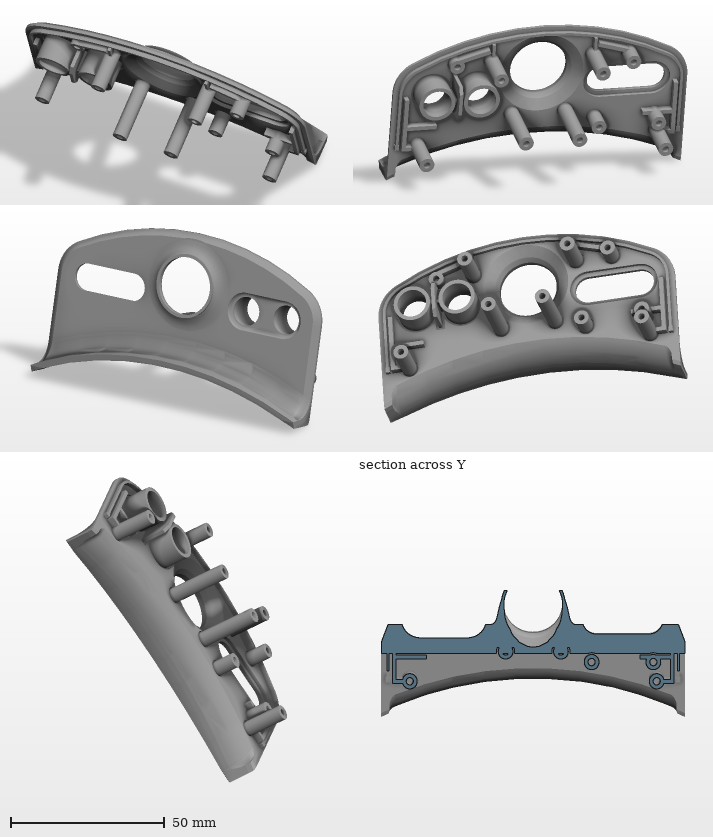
import cadquery as cq
import math

LEAN = 15.0
TIP_UP_ANGLE = 90 + LEAN

WIDTH = 98.9
HALF_WIDTH = WIDTH / 2
TOP_Y = 56.8
TOP_RADIUS = 91.0
CORNER_RADIUS = 11.9

BACK_Z = 9.9
PANEL_THICKNESS = 2.5
FRONT_Z = BACK_Z - PANEL_THICKNESS
EDGE_CHAMFER_WIDTH = 2.2
EDGE_CHAMFER_DEPTH = 1.5
BEVEL_FADE_END = (4.5, 1.8)
BEVEL_FADE_MID = (6.3, 6.6)
BEVEL_FADE_START = (11.4, FRONT_Z + EDGE_CHAMFER_DEPTH)

ARCH_CENTER_Y = -97.9
ARCH_RADIUS = 113.6
LEDGE_DRAFT = 5.0
LEDGE_FILLET = 6.1
LEDGE_THICKNESS = 2.2
UNDERSIDE_RADIUS = 9.9
UNDERSIDE_END_Z = BACK_Z + 1.0
HOLLOW_BACK_Z = BACK_Z + 9.9
LEDGE_FAR_Z = -9.9
SIDE_WALL = 2.6
HOLLOW_CORNER_RADIUS = 2.5

LEDGE_END_CORNER = (0.0, 4.3)
LEDGE_END_UNDERCUT = (-1.4, -1.2)
TRIM_SIZE = 69.2

RIM_PICK_Y = 29.7
PICK_MARGIN = 0.1

FOOT_REAR = (111.1, LEDGE_FAR_Z)
FOOT_FRONT = (111.7, 7.5)
FOOT_BEVEL = (112.0, 9.4)
FOOT_BACK_RADIUS = 113.3

RIDGE_INSET = 1.8
RIDGE_WIDTH = 0.9
RIDGE_HEIGHT = 1.5
RIDGE_END_Y = 14.7
RIDGE_PAD_WIDTH = 1.4
RIDGE_PAD_LENGTH = 1.8
RIDGE_X = HALF_WIDTH - RIDGE_INSET - RIDGE_WIDTH / 2

EYE_Y = 39.6
EYE_RADIUS = 9.5
EYE_LIP_RADIUS = 10.5
EYE_FRONT_Z = 4.5
EYE_FLARE_RADIUS = 15.4
EYE_LIP_HEIGHT = 0.8
EYE_FLARE_MID = (12.3, 6.7)
EYE_STEP_RADIUS = 10.7
EYE_STEP_Z = 7.8
EYE_SEAT_Z = 6.3
EYE_DISH_RADIUS = 14.1

SIDE_FEATURE_X = 29.1
SIDE_FEATURE_Y = 35.0
TUBE_SPACING = 14.9
TUBE_OUTER_RADIUS = 6.0
TUBE_INNER_RADIUS = 4.7
TUBE_END_Z = 18.0
TUBE_RECESS_RADIUS = 6.2
TUBE_RECESS_DEPTH = 1.5
TUBE_RECESS_FILLET = 1.4
SLOT_CENTERS = 17.1
SLOT_RADIUS = 4.5
SLOT_RECESS_RADIUS = 6.0
SLOT_RECESS_DEPTH = 1.2

FIN_THICKNESS = 1.2
FIN_LENGTH = 12.3
FIN_END_Z = 19.6
FIN_CHAMFER_LENGTH = 2.4
FIN_CHAMFER_HEIGHT = 1.6
WEB_WIDTH = 1.0
WEB_END_Z = 16.8

POST_RADIUS = 2.5
POST_BORE_RADIUS = 1.1
TALL_Z = 30.0
MEDIUM_Z = 23.5
SHORT_Z = 16.9
RIB_TOP_Z = 12.5
UPPER_POST = (17.1, 45.5)
LOWER_POST = (40.1, 15.5)
POSTS = [
    (-UPPER_POST[0], UPPER_POST[1], MEDIUM_Z),
    (UPPER_POST[0], UPPER_POST[1], MEDIUM_Z),
    (-9.0, 24.9, TALL_Z),
    (9.0, 24.9, TALL_Z),
    (-LOWER_POST[0], LOWER_POST[1], MEDIUM_Z),
    (LOWER_POST[0], LOWER_POST[1], MEDIUM_Z),
    (19.0, 21.6, SHORT_Z),
    (39.1, 21.6, SHORT_Z),
    (SIDE_FEATURE_X, 45.2, SHORT_Z),
    (-SIDE_FEATURE_X, 45.2, RIB_TOP_Z),
]

GROOVE_DEPTH = 0.5
POST_GROOVE = 0.4
TUBE_GROOVE = 0.8
FIN_GROOVE = 0.9
GROOVE_Z = BACK_Z - GROOVE_DEPTH

RIB_WIDTH = 1.4
SIDE_RIB_X = 45.2
SIDE_RIB_TOP_Y = 33.9
CROSS_RIB_Y = 23.1
CROSS_RIB_INNER_X = 34.6
UPPER_RIB_INNER = (18.2, 50.0)
UPPER_RIB_OUTER_Y = 46.8
SPUR_WIDTH = 1.0


def outline(inset, bottom_y):
    """Closed panel outline, moved inward by inset at the sides, corners and top."""
    half = HALF_WIDTH - inset
    top = TOP_Y - inset
    radius = TOP_RADIUS - inset
    corner = CORNER_RADIUS - inset
    center_y = top - radius
    corner_x = half - corner
    corner_y = center_y + math.sqrt((radius - corner) ** 2 - corner_x ** 2)
    join = math.atan2(corner_y - center_y, corner_x)
    join_x = radius * math.cos(join)
    join_y = center_y + radius * math.sin(join)
    mid_x = corner_x + corner * math.cos(join / 2)
    mid_y = corner_y + corner * math.sin(join / 2)
    return (
        cq.Workplane("XY")
        .moveTo(half, bottom_y)
        .lineTo(half, corner_y)
        .threePointArc((mid_x, mid_y), (join_x, join_y))
        .threePointArc((0, top), (-join_x, join_y))
        .threePointArc((-mid_x, mid_y), (-half, corner_y))
        .lineTo(-half, bottom_y)
        .close()
    )


def revolve_about(profile, center_y):
    """Revolve a (radius, z) profile about an axis along Z at X = 0 and the given Y."""
    solid = profile.revolve(360, (0, 0, 0), (0, 1, 0))
    return solid.rotate((0, 0, 0), (1, 0, 0), 90).translate((0, center_y, 0))


def ledge_curve(start, radius, fillet, face_z):
    """From start to the conical ledge, along it, and around its fillet onto the face at face_z."""
    draft = math.radians(LEDGE_DRAFT)
    center_z = face_z - fillet
    center_r = radius + center_z * math.tan(draft) + fillet / math.cos(draft)
    middle = math.radians((90 + LEDGE_DRAFT) / 2)

    def on_fillet(angle):
        return (center_r - fillet * math.cos(angle), center_z + fillet * math.sin(angle))

    return (
        cq.Workplane("XY")
        .moveTo(*start)
        .lineTo(radius + LEDGE_FAR_Z * math.tan(draft), LEDGE_FAR_Z)
        .lineTo(*on_fillet(draft))
        .threePointArc(on_fillet(middle), (center_r, face_z))
    )


def rear_trim():
    """Full-width slab in front of the rear cut of the ledge."""
    profile = (
        cq.Workplane("YZ")
        .polyline(
            [
                LEDGE_END_CORNER,
                LEDGE_END_UNDERCUT,
                (-TRIM_SIZE, LEDGE_END_UNDERCUT[1]),
                (-TRIM_SIZE, TRIM_SIZE),
                (0, TRIM_SIZE),
            ]
        )
        .close()
    )
    return profile.extrude(WIDTH, both=True).rotate((0, 0, 0), (1, 0, 0), -TIP_UP_ANGLE)


def unbevelled_ledge():
    """Full-width slab over the flat of the ledge, with a curved ramp where the edge bevel fades out."""
    profile = (
        cq.Workplane("YZ")
        .moveTo(-TRIM_SIZE, LEDGE_FAR_Z)
        .lineTo(TRIM_SIZE, LEDGE_FAR_Z)
        .lineTo(TRIM_SIZE, BEVEL_FADE_END[1])
        .lineTo(*BEVEL_FADE_END)
        .threePointArc(BEVEL_FADE_MID, BEVEL_FADE_START)
        .lineTo(-TRIM_SIZE, BEVEL_FADE_START[1])
        .close()
    )
    return profile.extrude(WIDTH, both=True)


def make_shell():
    """Panel, arched ledge and side walls as one shell with a bevelled front edge."""
    beyond_top = ARCH_RADIUS + TRIM_SIZE
    solid_form = revolve_about(
        ledge_curve(FOOT_REAR, ARCH_RADIUS, LEDGE_FILLET, FRONT_Z)
        .lineTo(beyond_top, FRONT_Z)
        .lineTo(beyond_top, BACK_Z)
        .lineTo(FOOT_BACK_RADIUS, BACK_Z)
        .lineTo(*FOOT_BEVEL)
        .lineTo(*FOOT_FRONT)
        .close(),
        ARCH_CENTER_Y,
    )
    block = outline(0, -BACK_Z).extrude(BACK_Z - LEDGE_FAR_Z).translate((0, 0, LEDGE_FAR_Z))
    plain_form = block.intersect(rear_trim()).intersect(solid_form)
    front_rim = cq.selectors.BoxSelector(
        (-WIDTH, RIM_PICK_Y, FRONT_Z - PICK_MARGIN), (WIDTH, TRIM_SIZE, FRONT_Z + PICK_MARGIN)
    )
    form = plain_form.edges(front_rim).chamfer(EDGE_CHAMFER_WIDTH, EDGE_CHAMFER_DEPTH)
    form = form.union(plain_form.intersect(unbevelled_ledge()))

    hollow = revolve_about(
        ledge_curve((0, LEDGE_FAR_Z), ARCH_RADIUS - LEDGE_THICKNESS, UNDERSIDE_RADIUS, UNDERSIDE_END_Z)
        .lineTo(0, HOLLOW_BACK_Z)
        .close(),
        ARCH_CENTER_Y,
    )
    span = cq.Workplane("XY").box(WIDTH - 2 * SIDE_WALL, 2 * TRIM_SIZE, 4 * BACK_Z)
    hollow = hollow.intersect(span)
    hollow = hollow.faces("<X or >X").edges().fillet(HOLLOW_CORNER_RADIUS)
    return form.cut(hollow)


def make_ridge():
    """Sealing ridge following the rim, ending in a small pad at each lower end."""
    ridge = (
        outline(RIDGE_INSET, RIDGE_END_Y)
        .extrude(RIDGE_HEIGHT)
        .cut(outline(RIDGE_INSET + RIDGE_WIDTH, 0).extrude(RIDGE_HEIGHT))
    )
    pads = (
        cq.Workplane("XY")
        .pushPoints([(side * RIDGE_X, RIDGE_END_Y + RIDGE_PAD_LENGTH / 2) for side in (-1, 1)])
        .rect(RIDGE_PAD_WIDTH, RIDGE_PAD_LENGTH)
        .extrude(RIDGE_HEIGHT)
    )
    return ridge.union(pads).translate((0, 0, BACK_Z))


def rib(start, end, width):
    """Straight square-ended rib standing on the back face between two points."""
    length = math.dist(start, end)
    angle = math.degrees(math.atan2(end[1] - start[1], end[0] - start[0]))
    bar = cq.Workplane("XY").box(length, width, RIB_TOP_Z - BACK_Z, centered=(False, True, False))
    return bar.rotate((0, 0, 0), (0, 0, 1), angle).translate((start[0], start[1], BACK_Z))


def make_ribs():
    """Ribs of the right half and their mirror images."""
    corner = (SIDE_RIB_X, LOWER_POST[1])
    rim_y = TOP_Y - RIDGE_INSET - RIDGE_WIDTH - UPPER_POST[0] ** 2 / (2 * TOP_RADIUS)
    half = (
        rib((SIDE_RIB_X, LOWER_POST[1] - RIB_WIDTH / 2), (SIDE_RIB_X, SIDE_RIB_TOP_Y), RIB_WIDTH)
        .union(rib(LOWER_POST, corner, RIB_WIDTH))
        .union(rib((CROSS_RIB_INNER_X, CROSS_RIB_Y), (SIDE_RIB_X, CROSS_RIB_Y), RIB_WIDTH))
        .union(rib(UPPER_RIB_INNER, (SIDE_FEATURE_X, UPPER_RIB_OUTER_Y), RIB_WIDTH))
        .union(rib(UPPER_POST, (UPPER_POST[0], rim_y), SPUR_WIDTH))
    )
    return half.union(half.mirror("YZ"))


def cylinder(x, y, radius, z_from, z_to):
    """Cylinder along Z between two heights."""
    return cq.Workplane("XY").center(x, y).circle(radius).extrude(z_to - z_from).translate((0, 0, z_from))


def stadium(x, y, centers, radius, z_from, z_to):
    """Round-ended bar along X; centers is the distance between its end arcs."""
    shape = cq.Workplane("XY").center(x, y).slot2D(centers + 2 * radius, 2 * radius)
    return shape.extrude(z_to - z_from).translate((0, 0, z_from))


def add_eye(part):
    """Large opening: flared collar at the front, conical dish at the back."""
    collar = revolve_about(
        cq.Workplane("XY")
        .moveTo(0, EYE_FRONT_Z)
        .lineTo(EYE_LIP_RADIUS, EYE_FRONT_Z)
        .lineTo(EYE_LIP_RADIUS, EYE_FRONT_Z + EYE_LIP_HEIGHT)
        .threePointArc(EYE_FLARE_MID, (EYE_FLARE_RADIUS, FRONT_Z))
        .lineTo(EYE_FLARE_RADIUS, GROOVE_Z)
        .lineTo(0, GROOVE_Z)
        .close(),
        EYE_Y,
    )
    opening = revolve_about(
        cq.Workplane("XY")
        .polyline(
            [
                (0, 0),
                (EYE_RADIUS, 0),
                (EYE_RADIUS, EYE_SEAT_Z),
                (EYE_STEP_RADIUS, EYE_STEP_Z),
                (EYE_DISH_RADIUS, BACK_Z),
                (0, BACK_Z),
            ]
        )
        .close(),
        EYE_Y,
    )
    return part.union(collar).cut(opening)


def add_tubes(part):
    """Two tubes opening into a shared recess at the front, with a fin and web between them."""
    tube_xs = [-SIDE_FEATURE_X - TUBE_SPACING / 2, -SIDE_FEATURE_X + TUBE_SPACING / 2]
    y = SIDE_FEATURE_Y
    recess_z = FRONT_Z + TUBE_RECESS_DEPTH
    for x in tube_xs:
        part = part.cut(cylinder(x, y, TUBE_OUTER_RADIUS + TUBE_GROOVE, GROOVE_Z, BACK_Z))
    groove = cq.Workplane("XY").box(
        FIN_THICKNESS + 2 * FIN_GROOVE,
        FIN_LENGTH + 2 * FIN_GROOVE,
        GROOVE_DEPTH,
        centered=(True, True, False),
    )
    part = part.cut(groove.translate((-SIDE_FEATURE_X, y, GROOVE_Z)))
    fin = (
        cq.Workplane("YZ")
        .polyline(
            [
                (-FIN_LENGTH / 2, GROOVE_Z),
                (FIN_LENGTH / 2, GROOVE_Z),
                (FIN_LENGTH / 2, FIN_END_Z - FIN_CHAMFER_HEIGHT),
                (FIN_LENGTH / 2 - FIN_CHAMFER_LENGTH, FIN_END_Z),
                (FIN_CHAMFER_LENGTH - FIN_LENGTH / 2, FIN_END_Z),
                (-FIN_LENGTH / 2, FIN_END_Z - FIN_CHAMFER_HEIGHT),
            ]
        )
        .close()
        .extrude(FIN_THICKNESS / 2, both=True)
        .translate((-SIDE_FEATURE_X, y, 0))
    )
    web_height = WEB_END_Z - GROOVE_Z
    web = cq.Workplane("XY").box(TUBE_SPACING, WEB_WIDTH, web_height, centered=(True, True, False))
    part = part.union(fin).union(web.translate((-SIDE_FEATURE_X, y, GROOVE_Z)))
    for x in tube_xs:
        part = part.union(cylinder(x, y, TUBE_OUTER_RADIUS, GROOVE_Z, TUBE_END_Z))
    recess = stadium(-SIDE_FEATURE_X, y, TUBE_SPACING, TUBE_RECESS_RADIUS, 0, recess_z)
    part = part.cut(recess.faces(">Z").edges().fillet(TUBE_RECESS_FILLET))
    for x in tube_xs:
        part = part.cut(cylinder(x, y, TUBE_INNER_RADIUS, 0, TUBE_END_Z))
    return part


def cut_slot(part):
    """Long window with a stepped recess at the back."""
    place = (SIDE_FEATURE_X, SIDE_FEATURE_Y, SLOT_CENTERS)
    part = part.cut(stadium(*place, SLOT_RADIUS, 0, BACK_Z))
    return part.cut(stadium(*place, SLOT_RECESS_RADIUS, BACK_Z - SLOT_RECESS_DEPTH, BACK_Z))


def add_posts(part):
    """Screw posts, each in a clearance groove, with blind bores down to the back face."""
    for x, y, _ in POSTS:
        part = part.cut(cylinder(x, y, POST_RADIUS + POST_GROOVE, GROOVE_Z, BACK_Z))
    part = part.union(make_ribs())
    for x, y, end_z in POSTS:
        part = part.union(cylinder(x, y, POST_RADIUS, GROOVE_Z, end_z))
    for x, y, end_z in POSTS:
        part = part.cut(cylinder(x, y, POST_BORE_RADIUS, BACK_Z, end_z))
    return part


panel = make_shell().union(make_ridge())
panel = add_eye(panel)
panel = add_tubes(panel)
panel = cut_slot(panel)
panel = add_posts(panel)
result = panel.rotate((0, 0, 0), (1, 0, 0), TIP_UP_ANGLE)